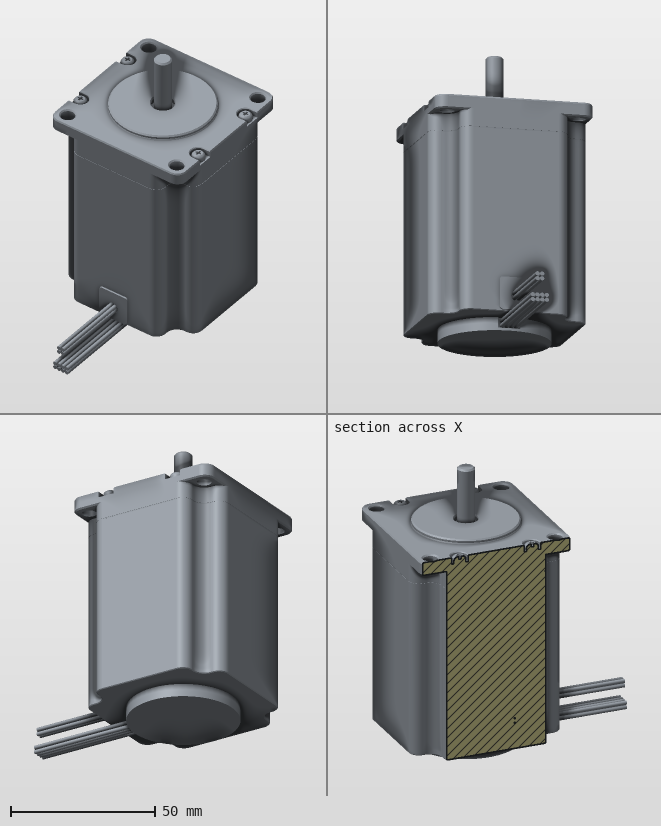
import cadquery as cq
import math


BODY_SIDE = 56.8
BODY_LENGTH = 76.3
FLANGE_THICKNESS = 5.0
CORNER_RADIUS = 3.9
TOP_CHAMFER_HEIGHT = 0.55
TOP_CHAMFER_WIDTH = 0.3
CORNER_CHAMFER = 0.5
BASE_CHAMFER = 0.3
BOLT_SPACING = 47.14
BOLT_HOLE_DIAMETER = 5.2
BOLT_HOLE_CHAMFER = 0.5
NOTCH_REACH = 13.0
JOINT_DEPTH = 11.1
JOINT_GROOVE_WIDTH = 0.4
JOINT_GROOVE_DEPTH = 0.1

PILOT_DIAMETER = 38.1
PILOT_HEIGHT = 1.6
PILOT_CHAMFER = 0.5
PILOT_FLARE = 0.4
SHAFT_DIAMETER = 6.35
SHAFT_LENGTH = 21.0
SHAFT_CHAMFER = 0.6
SEAT_DIAMETER = 8.2
SEAT_DEPTH = 2.0
SEAT_CHAMFER = 0.5

SCREW_X = 25.5
SCREW_Y = 13.7
POCKET_DIAMETER = 6.1
POCKET_DEPTH = 2.4
POCKET_CHAMFER = 0.3
HEAD_DIAMETER = 5.0
HEAD_RIM_HEIGHT = 0.6
HEAD_FLAT_DIAMETER = 3.2
CROSS_LENGTH = 2.2
CROSS_WIDTH = 0.7
CROSS_DEPTH = 1.0

CAP_DIAMETER = 39.7
CAP_HEIGHT = 4.7
SOCKET_WIDTH = 8.0
SOCKET_HEIGHT = 3.8
SOCKET_DEPTH = 1.0

PLATE_WIDTH = 12.0
PLATE_HEIGHT = 11.6
PLATE_LIFT = 0.6
PLATE_THICKNESS = 0.7
PLATE_CORNER_RADIUS = 1.0
CABLE_HOLE_DIAMETER = 4.0
CABLE_HOLE_LIFT = 5.65
WIRE_DIAMETER = 1.5
WIRE_PITCH = 1.68
WIRE_END = 31.0
WIRE_ROOT = 1.0

CHAMFER_ANGLE = 45.0
HALF_SIDE = BODY_SIDE / 2
BODY_BOTTOM = -BODY_LENGTH
BOLT_OFFSET = BOLT_SPACING / 2


def cylinder(diameter, bottom, height):
    return cq.Workplane("XY").workplane(offset=bottom).circle(diameter / 2).extrude(height)


def notched_prism(bottom, height, inset=0.0):
    """Square body with each corner hollowed by a round notch about the bolt axis."""
    side = HALF_SIDE - inset
    radius = CORNER_RADIUS - inset
    flat_end = HALF_SIDE - NOTCH_REACH
    wall = flat_end + CORNER_RADIUS - inset
    notch_radius = BOLT_OFFSET - wall
    bulge = radius * math.sin(math.pi / 4)
    notch_mid = BOLT_OFFSET - notch_radius * math.sin(math.pi / 4)
    arc_centre = wall - radius
    corner = [
        (side, arc_centre),
        (side - radius + bulge, arc_centre + bulge),
        (side - radius, wall),
        (BOLT_OFFSET, wall),
        (notch_mid, notch_mid),
        (wall, BOLT_OFFSET),
        (wall, side - radius),
        (arc_centre + bulge, side - radius + bulge),
        (arc_centre, side),
    ]
    outline = cq.Workplane("XY").workplane(offset=bottom).moveTo(side, -arc_centre)
    for quarter in range(4):
        turn = quarter * math.pi / 2
        points = [
            (x * math.cos(turn) - y * math.sin(turn), x * math.sin(turn) + y * math.cos(turn))
            for x, y in corner
        ]
        outline = (
            outline.lineTo(*points[0])
            .threePointArc(points[1], points[2])
            .lineTo(*points[3])
            .threePointArc(points[4], points[5])
            .lineTo(*points[6])
            .threePointArc(points[7], points[8])
        )
    return outline.close().extrude(height)


def make_body():
    body_top = -FLANGE_THICKNESS / 2
    body = notched_prism(BODY_BOTTOM, BODY_LENGTH + body_top)
    body = body.faces("<Z").edges().chamfer(BASE_CHAMFER)
    groove_bottom = -JOINT_DEPTH - JOINT_GROOVE_WIDTH / 2
    groove = notched_prism(groove_bottom, JOINT_GROOVE_WIDTH).cut(
        notched_prism(groove_bottom, JOINT_GROOVE_WIDTH, JOINT_GROOVE_DEPTH)
    )
    return body.cut(groove)


def make_flange():
    flange = (
        cq.Workplane("XY")
        .rect(BODY_SIDE, BODY_SIDE)
        .extrude(-FLANGE_THICKNESS)
        .edges("|Z")
        .fillet(CORNER_RADIUS)
    )
    flange = flange.faces("<Z").edges().chamfer(CORNER_CHAMFER)
    return flange.faces(">Z").edges().chamfer(TOP_CHAMFER_HEIGHT, TOP_CHAMFER_WIDTH)


def chamfer_cone(diameter, size, top):
    """Cone frustum that opens a round mouth of the given diameter at height top."""
    radius = diameter / 2
    return (
        cq.Workplane("XZ")
        .polyline([(0, top - size), (radius, top - size), (radius + size, top), (0, top)])
        .close()
        .revolve(360, (0, 0, 0), (0, 1, 0))
    )


def cut_bolt_holes(part):
    hole = cylinder(BOLT_HOLE_DIAMETER, -FLANGE_THICKNESS, FLANGE_THICKNESS)
    tool = hole.union(chamfer_cone(BOLT_HOLE_DIAMETER, BOLT_HOLE_CHAMFER, 0))
    for x in (-BOLT_OFFSET, BOLT_OFFSET):
        for y in (-BOLT_OFFSET, BOLT_OFFSET):
            part = part.cut(tool.translate((x, y, 0)))
    return part


def add_pilot_and_shaft(part):
    pilot = cylinder(PILOT_DIAMETER, 0, PILOT_HEIGHT).faces(">Z").edges().chamfer(PILOT_CHAMFER)
    foot_diameter = PILOT_DIAMETER + 2 * PILOT_FLARE
    flare = cq.Workplane("XY").circle(foot_diameter / 2).extrude(PILOT_FLARE, taper=CHAMFER_ANGLE)
    pilot = pilot.union(flare)
    seat_bottom = PILOT_HEIGHT - SEAT_DEPTH
    seat = cylinder(SEAT_DIAMETER, seat_bottom, SEAT_DEPTH)
    seat = seat.union(chamfer_cone(SEAT_DIAMETER, SEAT_CHAMFER, PILOT_HEIGHT))
    shaft = cylinder(SHAFT_DIAMETER, seat_bottom, SHAFT_LENGTH - seat_bottom)
    shaft = shaft.faces(">Z").edges().chamfer(SHAFT_CHAMFER)
    return part.union(pilot).cut(seat).union(shaft)


def make_screw_head():
    """Domed head standing on the pocket floor, level with the flange top."""
    rim_radius = HEAD_DIAMETER / 2
    flat_radius = HEAD_FLAT_DIAMETER / 2
    rim_top = HEAD_RIM_HEIGHT - POCKET_DEPTH
    diagonal = math.sin(math.pi / 4)
    dome_middle = (flat_radius + (rim_radius - flat_radius) * diagonal, rim_top * (1 - diagonal))
    head = (
        cq.Workplane("XZ")
        .moveTo(0, -POCKET_DEPTH)
        .lineTo(rim_radius, -POCKET_DEPTH)
        .lineTo(rim_radius, rim_top)
        .threePointArc(dome_middle, (flat_radius, 0))
        .lineTo(0, 0)
        .close()
        .revolve(360, (0, 0, 0), (0, 1, 0))
    )
    slot = cq.Workplane("XY").rect(CROSS_LENGTH, CROSS_WIDTH).extrude(-CROSS_DEPTH)
    return head.cut(slot).cut(slot.rotate((0, 0, 0), (0, 0, 1), 90))


def make_pocket(side):
    """Screw pocket about the origin, open towards +X or -X, with a chamfered rim."""
    run_out = HALF_SIDE - SCREW_X + POCKET_DIAMETER
    pocket = (
        cq.Workplane("XY")
        .center(side * run_out / 2, 0)
        .slot2D(run_out + POCKET_DIAMETER, POCKET_DIAMETER)
        .extrude(-POCKET_DEPTH)
    )
    rim = (
        cq.Workplane("XY", origin=(side * run_out / 2, 0, 0))
        .slot2D(run_out + POCKET_DIAMETER + 2 * POCKET_CHAMFER, POCKET_DIAMETER + 2 * POCKET_CHAMFER)
        .extrude(-POCKET_CHAMFER, taper=CHAMFER_ANGLE)
    )
    return pocket.union(rim)


def add_screws(part):
    head = make_screw_head()
    for side in (-1, 1):
        pocket = make_pocket(side)
        for y in (-SCREW_Y, SCREW_Y):
            place = (side * SCREW_X, y, 0)
            part = part.cut(pocket.translate(place)).union(head.translate(place))
    return part


def add_rear_cap(part):
    cap = cylinder(CAP_DIAMETER, BODY_BOTTOM - CAP_HEIGHT, CAP_HEIGHT)
    chord_y = math.sqrt((CAP_DIAMETER / 2) ** 2 - (SOCKET_WIDTH / 2) ** 2)
    socket = (
        cq.Workplane("XY", origin=(0, -chord_y, BODY_BOTTOM))
        .rect(SOCKET_WIDTH, 2 * SOCKET_DEPTH)
        .extrude(-SOCKET_HEIGHT)
    )
    return part.union(cap.cut(socket))


def add_cable_plate(part):
    plate = (
        cq.Workplane("XZ", origin=(0, -HALF_SIDE, BODY_BOTTOM + PLATE_LIFT + PLATE_HEIGHT / 2))
        .rect(PLATE_WIDTH, PLATE_HEIGHT)
        .extrude(PLATE_THICKNESS)
        .edges("|Y")
        .fillet(PLATE_CORNER_RADIUS)
    )
    hole = (
        cq.Workplane("XZ", origin=(0, -HALF_SIDE, BODY_BOTTOM + CABLE_HOLE_LIFT))
        .circle(CABLE_HOLE_DIAMETER / 2)
        .extrude(PLATE_THICKNESS)
    )
    return part.union(plate.cut(hole))


def add_wires(part, columns, rows, centre_z, start_y):
    """Bundle of straight wires running towards -Y, rooted just inside start_y."""
    root_y = start_y + WIRE_ROOT
    wires = (
        cq.Workplane("XZ", origin=(0, root_y, centre_z))
        .rarray(WIRE_PITCH, WIRE_PITCH, columns, rows)
        .circle(WIRE_DIAMETER / 2)
        .extrude(root_y + HALF_SIDE + WIRE_END)
    )
    return part.union(wires)


result = make_body().union(make_flange())
result = cut_bolt_holes(result)
result = add_pilot_and_shaft(result)
result = add_screws(result)
result = add_rear_cap(result)
result = add_cable_plate(result)
result = add_wires(result, 2, 2, BODY_BOTTOM + CABLE_HOLE_LIFT, -HALF_SIDE)
result = add_wires(result, 4, 2, BODY_BOTTOM - SOCKET_HEIGHT / 2, SOCKET_DEPTH - CAP_DIAMETER / 2)